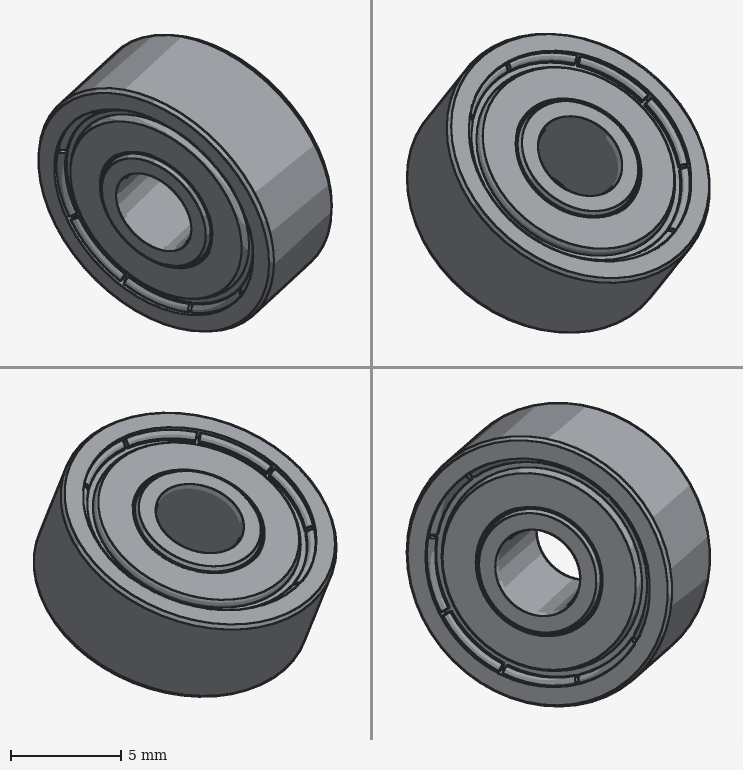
import cadquery as cq

outer_radius = 6.5
width = 5.0
half_width = width / 2
bearing_axis = ((0, 0, 0), (0, 1, 0))
bore_radius = 2.0

ring_chamfer_radial = 0.13
ring_chamfer_axial = 0.21
bore_chamfer_radial = 0.08
bore_chamfer_axial = 0.25

inner_ring_radius = 3.0
gap_radius = 3.11
gap_depth = 0.34

disc_radius = 4.73
disc_depth = 0.18
flat_inner_radius = 4.89
flat_outer_radius = 5.19
flat_depth = 0.55
disc_edge_bulge = 0.04

lip_wall_height = 0.13
lip_radius = 5.5
lip_depth = 0.18
lip_bulge = 0.05

notch_count = 9
notch_step = 360 / notch_count
notch_width = 0.18


def bearing_blank():
    """Plain ring with both end faces chamfered, outside and in the bore."""
    section = [
        (bore_radius, bore_chamfer_axial - half_width),
        (bore_radius + bore_chamfer_radial, -half_width),
        (outer_radius - ring_chamfer_radial, -half_width),
        (outer_radius, ring_chamfer_axial - half_width),
        (outer_radius, half_width - ring_chamfer_axial),
        (outer_radius - ring_chamfer_radial, half_width),
        (bore_radius + bore_chamfer_radial, half_width),
        (bore_radius, half_width - bore_chamfer_axial),
    ]
    return cq.Workplane("XY").polyline(section).close().revolve(360, *bearing_axis)


def shield_recess():
    """Space between the two rings at the front face (-Y), shaped by the shield below it."""
    face = -half_width
    disc = face + disc_depth
    flat = face + flat_depth
    lip = face + lip_depth
    section = (
        cq.Workplane("XY")
        .moveTo(inner_ring_radius - ring_chamfer_radial, face)
        .lineTo(inner_ring_radius, face + ring_chamfer_axial)
        .lineTo(inner_ring_radius, face + gap_depth)
        .lineTo(gap_radius, face + gap_depth)
        .lineTo(gap_radius, disc)
        .lineTo(disc_radius, disc)
        .sagittaArc((flat_inner_radius, flat), -disc_edge_bulge)
        .lineTo(flat_outer_radius, flat)
        .lineTo(flat_outer_radius, flat - lip_wall_height)
        .sagittaArc((lip_radius, lip), -lip_bulge)
        .lineTo(lip_radius, face)
        .close()
    )
    return section.revolve(360, *bearing_axis)


def lip_notches():
    """Radial notches through the front lip, down to the level of the shield flat."""
    floor = cq.Workplane("XZ", origin=(0, flat_depth - half_width, 0))
    lip_zone = floor.circle(lip_radius).circle(flat_inner_radius).extrude(flat_depth)
    first_bar = floor.rect(notch_width, outer_radius, centered=(True, False)).extrude(flat_depth)
    bars = first_bar
    for index in range(1, notch_count):
        bars = bars.union(first_bar.rotate(*bearing_axis, index * notch_step))
    return lip_zone.intersect(bars)


front_cut = shield_recess().union(lip_notches())
result = bearing_blank().cut(front_cut).cut(front_cut.mirror("XZ"))